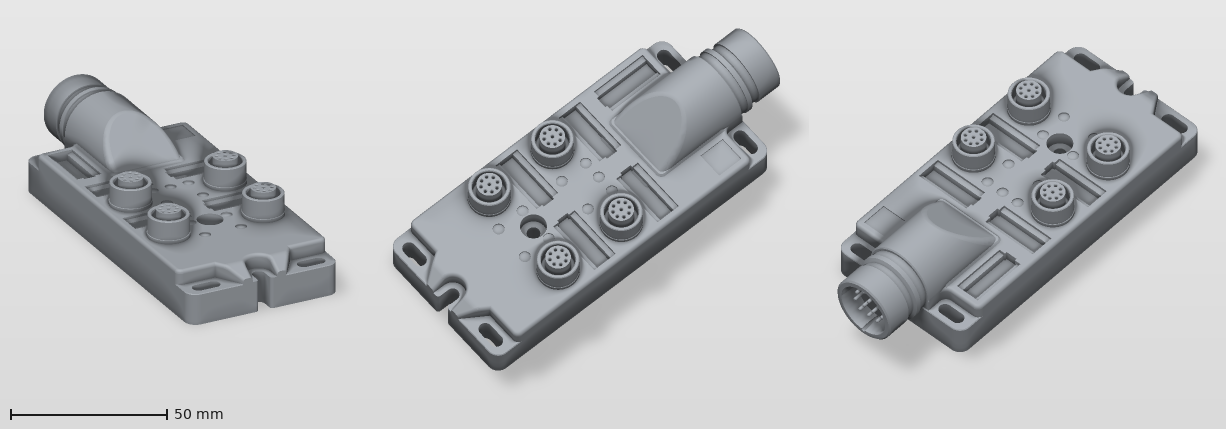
import cadquery as cq
import math

TOTAL_LENGTH = 132.1
BODY_LENGTH = 115.3
BODY_WIDTH = 53.9
DECK_Z = 15.9
TOTAL_HEIGHT = 28.5
LEDGE_Z = 10.8
DECK_OVERLAP = 1.3
HALF_WIDTH = BODY_WIDTH / 2
CORNER_RADIUS = 4.0
LEDGE_EDGE_CHAMFER = 0.3

DECK_FRONT_X = 0.4
DECK_NOTCH_X = 8.3
DECK_REAR_X = 106.8
DECK_CORNER_RADIUS = 2.1
NOTCH_RADIUS = 2.6
DECK_ROUNDING = 1.2
REAR_NOTCH_Y = 13.5
REAR_TIP_Y = 7.8
SLOPE_START_X = 109.8
SLOPE_END_Z = 12.5
SLOPE_BLEND_RADIUS = 4.4

SLOT_WIDTH = 4.4
SLOT_LENGTH = 9.8
SLOT_Y = 18.9
FRONT_SLOT_X = 4.4
REAR_SLOT_X = BODY_LENGTH - FRONT_SLOT_X
U_RECESS_RADIUS = 4.4
U_MOUTH_RADIUS = 1.0
SCREW_X = 77.2
COUNTERBORE_DIAMETER = 8.6

AXIS_Z = DECK_Z
HOOD_RADIUS = TOTAL_HEIGHT - AXIS_Z
HOOD_RIDGE_END_X = 17.2
HOOD_FOOT_X = 34.9
HOOD_SKIRT_END_X = 35.3
HOOD_ROUNDING = 2.1
HOOD_FRONT_CHAMFER = 0.4
HOOD_SKIRT = 0.7

CONNECTOR_TIP_X = BODY_LENGTH - TOTAL_LENGTH
BARREL_DIAMETER = 23.0
NECK_DIAMETER = 21.5
RING_DIAMETER = 24.0
TIP_CHAMFER = 0.5
NECK_START_X = -7.8
RING_FLANK_X = -5.2
RING_START_X = -4.4
RING_END_X = -2.6
BORE_MOUTH_DIAMETER = 18.8
BORE_FLOOR_DIAMETER = 17.5
BORE_DEPTH = 7.3
INSERT_DIAMETER = 16.1
INSERT_HEIGHT = 0.7
INSERT_CHAMFER = 0.1
KEYWAY_DIAMETER = 1.5
PIN_DIAMETER = 1.15
PIN_SETBACK = 2.1
PIN_CHAMFER = 0.3
OUTER_PIN_RADIUS = 5.8
OUTER_PIN_ANGLES = (20, 60, 100, 140)
INNER_PIN_RADIUS = 2.2
INNER_PIN_COUNT = 3
LOWER_PIN_OFFSET = 4.5

COLUMN_PITCH = 26.4
SOCKET_X = 54.8
SOCKET_Y = 17.0
FLANGE_DIAMETER = 14.0
FLANGE_TOP_Z = 17.2
FLANGE_CHAMFER = 0.1
SOCKET_DIAMETER = 13.6
SOCKET_BORE = 11.1
SOCKET_TOP_Z = 23.6
SOCKET_FLOOR_Z = 17.8
SOCKET_CHAMFER = 0.3
CORE_DIAMETER = 8.2
CORE_TOP_Z = 25.2
SEAL_DIAMETER = (SOCKET_BORE - CORE_DIAMETER) / 2
CONTACT_DIAMETER = 1.0
COUNTERSINK_DIAMETER = 1.5
COUNTERSINK_ANGLE = 90
CONTACT_RADIUS = 2.8
CONTACT_COUNT = 8
CONTACT_DEPTH = 2.6

DOME_DIAMETER = 3.8
DOME_HEIGHT = 0.4
DOME_RECESS_DEPTH = 0.46
DOME_OFFSET_X = 5.0
DOME_Y = 6.5

POCKET_X = 41.5
POCKET_WIDTH = 9.0
POCKET_FLOOR_WIDTH = 5.5
POCKET_LENGTH = 20.3
POCKET_OUTER_Y = 24.5
POCKET_DEPTH = 3.5
POCKET_RIM_DEPTH = 0.9
POCKET_SHELF_DEPTH = 1.5
POCKET_WALL_DRAFT = 0.3
TAB_WIDTH = 4.2
TAB_LENGTH = 0.8
SIDE_POCKET_X = 11.0
SIDE_POCKET_Y = -19.8

PLATE_SIZE = 9.2
PLATE_DEPTH = 0.4
PLATE_X = 15.5
PLATE_Y = 19.8


def cylinder_z(diameter, x, y, bottom, top):
    disc = cq.Workplane("XY", origin=(x, y, bottom)).circle(diameter / 2)
    return disc.extrude(top - bottom)


def half_deck():
    """Raised deck on the +Y side, up to the sloped rear tip."""
    outline = (
        cq.Workplane("XY", origin=(0, 0, LEDGE_Z - DECK_OVERLAP))
        .moveTo(DECK_FRONT_X, 0)
        .lineTo(DECK_FRONT_X, HOOD_RADIUS)
        .lineTo(DECK_NOTCH_X - NOTCH_RADIUS, HOOD_RADIUS)
        .radiusArc((DECK_NOTCH_X, HOOD_RADIUS + NOTCH_RADIUS), -NOTCH_RADIUS)
        .lineTo(DECK_NOTCH_X, HALF_WIDTH - DECK_CORNER_RADIUS)
        .radiusArc((DECK_NOTCH_X + DECK_CORNER_RADIUS, HALF_WIDTH), DECK_CORNER_RADIUS)
        .lineTo(DECK_REAR_X - DECK_CORNER_RADIUS, HALF_WIDTH)
        .radiusArc((DECK_REAR_X, HALF_WIDTH - DECK_CORNER_RADIUS), DECK_CORNER_RADIUS)
        .lineTo(DECK_REAR_X, REAR_NOTCH_Y)
        .lineTo(BODY_LENGTH, REAR_TIP_Y)
        .lineTo(BODY_LENGTH, 0)
        .close()
    )
    return outline.extrude(DECK_Z - LEDGE_Z + DECK_OVERLAP)


def make_deck():
    upper_half = half_deck()
    deck = upper_half.union(upper_half.mirror("XZ")).clean()
    recess_mouth = cq.Workplane("XY", origin=(REAR_SLOT_X, 0, LEDGE_Z)).box(
        BODY_LENGTH - REAR_SLOT_X,
        2 * U_RECESS_RADIUS,
        DECK_Z - LEDGE_Z,
        centered=(False, True, False),
    )
    recess = cylinder_z(2 * U_RECESS_RADIUS, REAR_SLOT_X, 0, LEDGE_Z, DECK_Z).union(recess_mouth)
    slope = (
        cq.Workplane("XZ", origin=(0, HALF_WIDTH, 0))
        .moveTo(SLOPE_START_X, DECK_Z)
        .lineTo(BODY_LENGTH, SLOPE_END_Z)
        .lineTo(BODY_LENGTH, DECK_Z)
        .close()
        .extrude(BODY_WIDTH)
    )
    deck = deck.cut(slope)
    crease = cq.selectors.NearestToPointSelector((SLOPE_START_X, 0, DECK_Z))
    deck = deck.edges(crease).fillet(SLOPE_BLEND_RADIUS)
    deck = deck.cut(recess)
    covered_x = DECK_NOTCH_X - NOTCH_RADIUS
    rim = [edge for edge in deck.faces(">Z").edges().vals() if edge.Center().x > covered_x]
    return deck.newObject(rim).fillet(DECK_ROUNDING)


def make_base():
    base = (
        cq.Workplane("XY")
        .rect(BODY_LENGTH, BODY_WIDTH)
        .extrude(LEDGE_Z)
        .translate((BODY_LENGTH / 2, 0, 0))
        .edges("|Z")
        .fillet(CORNER_RADIUS)
    )
    return base.faces(">Z").edges().chamfer(LEDGE_EDGE_CHAMFER)


def make_slots():
    slots = None
    for x in (FRONT_SLOT_X, REAR_SLOT_X):
        for y in (-SLOT_Y, SLOT_Y):
            slot = (
                cq.Workplane("XY", origin=(x, y, 0))
                .slot2D(SLOT_LENGTH, SLOT_WIDTH, 90)
                .extrude(DECK_Z)
            )
            slots = slot if slots is None else slots.union(slot)
    return slots


def cut_screw_features(body):
    """Open-ended rear slot and the counterbored hole in the deck."""
    rear_slot = (
        cq.Workplane("XY")
        .moveTo(BODY_LENGTH, SLOT_WIDTH / 2 + U_MOUTH_RADIUS)
        .radiusArc((BODY_LENGTH - U_MOUTH_RADIUS, SLOT_WIDTH / 2), U_MOUTH_RADIUS)
        .lineTo(REAR_SLOT_X, SLOT_WIDTH / 2)
        .radiusArc((REAR_SLOT_X, -SLOT_WIDTH / 2), -SLOT_WIDTH / 2)
        .lineTo(BODY_LENGTH - U_MOUTH_RADIUS, -SLOT_WIDTH / 2)
        .radiusArc((BODY_LENGTH, -SLOT_WIDTH / 2 - U_MOUTH_RADIUS), U_MOUTH_RADIUS)
        .close()
        .extrude(DECK_Z)
    )
    hole = cylinder_z(SLOT_WIDTH, SCREW_X, 0, 0, DECK_Z)
    counterbore = cylinder_z(COUNTERBORE_DIAMETER, SCREW_X, 0, LEDGE_Z, DECK_Z)
    return body.cut(rear_slot).cut(hole).cut(counterbore)


def make_hood():
    """Half-round hood with a sloped rear face and a flared foot on the deck."""
    slope = (TOTAL_HEIGHT - DECK_Z) / (HOOD_FOOT_X - HOOD_RIDGE_END_X)
    bottom_z = LEDGE_Z
    bottom_x = HOOD_FOOT_X + (DECK_Z - bottom_z) / slope
    arch = (
        cq.Workplane("YZ", origin=(DECK_FRONT_X, 0, 0))
        .moveTo(-HOOD_RADIUS, bottom_z)
        .lineTo(-HOOD_RADIUS, AXIS_Z)
        .threePointArc((0, TOTAL_HEIGHT), (HOOD_RADIUS, AXIS_Z))
        .lineTo(HOOD_RADIUS, bottom_z)
        .close()
        .extrude(bottom_x - DECK_FRONT_X)
    )
    profile = (
        cq.Workplane("XZ", origin=(0, HALF_WIDTH, 0))
        .moveTo(DECK_FRONT_X, bottom_z)
        .lineTo(DECK_FRONT_X, TOTAL_HEIGHT)
        .lineTo(HOOD_RIDGE_END_X, TOTAL_HEIGHT)
        .lineTo(bottom_x, bottom_z)
        .close()
        .extrude(BODY_WIDTH)
    )
    hood = arch.intersect(profile)
    sloped_face = hood.faces(cq.selectors.DirectionMinMaxSelector(cq.Vector(slope, 0, 1), True))
    sloped_edges = [edge for edge in sloped_face.edges().vals() if edge.Center().z > DECK_Z]
    hood = hood.newObject(sloped_edges).fillet(HOOD_ROUNDING)
    hood = hood.faces("<X").edges("%CIRCLE").chamfer(HOOD_FRONT_CHAMFER)
    skirt = (
        cq.Workplane("XY", origin=((DECK_NOTCH_X + HOOD_SKIRT_END_X) / 2, 0, LEDGE_Z))
        .rect(HOOD_SKIRT_END_X - DECK_NOTCH_X, 2 * (HOOD_RADIUS + HOOD_SKIRT))
        .extrude(DECK_Z + HOOD_SKIRT - LEDGE_Z)
        .edges("|Z and >X")
        .fillet(HOOD_ROUNDING)
        .faces(">Z")
        .edges()
        .chamfer(HOOD_SKIRT)
    )
    return hood.union(skirt)


def make_connector():
    """Turned barrel with its bore, keyway and contact pins, along -X."""
    barrel_radius = BARREL_DIAMETER / 2
    neck_radius = NECK_DIAMETER / 2
    ring_radius = RING_DIAMETER / 2
    floor_x = CONNECTOR_TIP_X + BORE_DEPTH
    axis_plane = cq.Workplane("XY", origin=(0, 0, AXIS_Z))
    barrel = (
        axis_plane
        .moveTo(CONNECTOR_TIP_X, 0)
        .lineTo(CONNECTOR_TIP_X, barrel_radius - TIP_CHAMFER)
        .lineTo(CONNECTOR_TIP_X + TIP_CHAMFER, barrel_radius)
        .lineTo(NECK_START_X, barrel_radius)
        .lineTo(NECK_START_X, neck_radius)
        .lineTo(RING_FLANK_X, neck_radius)
        .lineTo(RING_START_X, ring_radius)
        .lineTo(RING_END_X, ring_radius)
        .lineTo(RING_END_X, barrel_radius)
        .lineTo(DECK_FRONT_X, barrel_radius)
        .lineTo(DECK_FRONT_X, 0)
        .close()
        .revolve(360, (0, 0), (1, 0))
    )
    bore = (
        axis_plane
        .moveTo(CONNECTOR_TIP_X, 0)
        .lineTo(CONNECTOR_TIP_X, BORE_MOUTH_DIAMETER / 2)
        .lineTo(floor_x, BORE_FLOOR_DIAMETER / 2)
        .lineTo(floor_x, 0)
        .close()
        .revolve(360, (0, 0), (1, 0))
    )
    keyway = (
        cq.Workplane("YZ", origin=(CONNECTOR_TIP_X, 0, AXIS_Z - BORE_MOUTH_DIAMETER / 2))
        .circle(KEYWAY_DIAMETER / 2)
        .extrude(BORE_DEPTH)
    )
    insert = (
        cq.Workplane("YZ", origin=(floor_x - INSERT_HEIGHT, 0, AXIS_Z))
        .circle(INSERT_DIAMETER / 2)
        .extrude(INSERT_HEIGHT)
        .faces("<X")
        .chamfer(INSERT_CHAMFER)
    )
    pin_points = [(0, -LOWER_PIN_OFFSET)]
    for angle in OUTER_PIN_ANGLES:
        y = OUTER_PIN_RADIUS * math.sin(math.radians(angle))
        z = OUTER_PIN_RADIUS * math.cos(math.radians(angle))
        pin_points += [(y, z), (-y, z)]
    for index in range(INNER_PIN_COUNT):
        angle = 2 * math.pi * index / INNER_PIN_COUNT
        pin_points.append((INNER_PIN_RADIUS * math.sin(angle), INNER_PIN_RADIUS * math.cos(angle)))
    pins = (
        cq.Workplane("YZ", origin=(CONNECTOR_TIP_X + PIN_SETBACK, 0, AXIS_Z))
        .pushPoints(pin_points)
        .circle(PIN_DIAMETER / 2)
        .extrude(BORE_DEPTH)
        .faces("<X")
        .chamfer(PIN_CHAMFER)
    )
    return barrel.cut(bore).cut(keyway).union(insert).union(pins)


def make_socket():
    """Round socket standing on the deck, centred on the Z axis."""
    flange = cylinder_z(FLANGE_DIAMETER, 0, 0, DECK_Z - DECK_OVERLAP, FLANGE_TOP_Z)
    flange = flange.faces(">Z").chamfer(FLANGE_CHAMFER)
    wall = cylinder_z(SOCKET_DIAMETER, 0, 0, DECK_Z, SOCKET_TOP_Z)
    bore = cylinder_z(SOCKET_BORE, 0, 0, SOCKET_FLOOR_Z, SOCKET_TOP_Z)
    wall = flange.union(wall).cut(bore).faces(">Z").edges().chamfer(SOCKET_CHAMFER)
    core = cylinder_z(CORE_DIAMETER, 0, 0, DECK_Z, CORE_TOP_Z)
    contact_points = [(0, 0)]
    for index in range(CONTACT_COUNT):
        angle = 2 * math.pi * (index + 0.5) / CONTACT_COUNT
        contact_points.append((CONTACT_RADIUS * math.sin(angle), CONTACT_RADIUS * math.cos(angle)))
    core = (
        core.faces(">Z")
        .workplane()
        .pushPoints(contact_points)
        .cskHole(CONTACT_DIAMETER, COUNTERSINK_DIAMETER, COUNTERSINK_ANGLE, CONTACT_DEPTH)
    )
    seal = (
        cq.Workplane("XZ", origin=(0, 0, SOCKET_FLOOR_Z))
        .moveTo((CORE_DIAMETER + SOCKET_BORE) / 4, 0)
        .circle(SEAL_DIAMETER / 2)
        .revolve(360, (0, 0), (0, 1))
    )
    return wall.union(core).union(seal)


def make_dome_recess():
    """Shallow round recess with a spherical cap rising from its floor almost to the deck."""
    radius = DOME_DIAMETER / 2
    sphere_radius = (radius**2 + DOME_HEIGHT**2) / (2 * DOME_HEIGHT)
    return (
        cq.Workplane("XZ", origin=(0, 0, DECK_Z - DOME_RECESS_DEPTH))
        .moveTo(radius, 0)
        .lineTo(radius, DOME_RECESS_DEPTH)
        .lineTo(0, DOME_RECESS_DEPTH)
        .lineTo(0, DOME_HEIGHT)
        .radiusArc((radius, 0), sphere_radius)
        .close()
        .revolve(360, (0, 0), (0, 1))
    )


def make_pocket():
    """Label pocket along +Y from the origin: stepped trough with sloped shelves and an end tab."""
    half_width = POCKET_WIDTH / 2
    half_floor = POCKET_FLOOR_WIDTH / 2
    trough = (
        cq.Workplane("XZ", origin=(0, 0, DECK_Z))
        .moveTo(-half_width, 0)
        .lineTo(-half_width, -POCKET_RIM_DEPTH)
        .lineTo(-half_floor, -POCKET_SHELF_DEPTH)
        .lineTo(POCKET_WALL_DRAFT - half_floor, -POCKET_DEPTH)
        .lineTo(half_floor - POCKET_WALL_DRAFT, -POCKET_DEPTH)
        .lineTo(half_floor, -POCKET_SHELF_DEPTH)
        .lineTo(half_width, -POCKET_RIM_DEPTH)
        .lineTo(half_width, 0)
        .close()
        .extrude(-POCKET_LENGTH)
    )
    tab = cq.Workplane("XY").box(
        TAB_WIDTH, POCKET_LENGTH + TAB_LENGTH, POCKET_DEPTH, centered=(True, False, False)
    ).translate((0, 0, DECK_Z - POCKET_DEPTH))
    return trough.union(tab)


body = make_base().union(make_deck()).cut(make_slots())
body = cut_screw_features(body)

dome_recess = make_dome_recess()
pocket = make_pocket()
socket = make_socket()
for column in range(2):
    shift = column * COLUMN_PITCH
    for side in (-1, 1):
        for offset in (-DOME_OFFSET_X, DOME_OFFSET_X):
            body = body.cut(dome_recess.translate((SOCKET_X + shift + offset, side * DOME_Y, 0)))
        turn = 0 if side < 0 else 180
        label = pocket.rotate((0, 0, 0), (0, 0, 1), turn)
        body = body.cut(label.translate((POCKET_X + shift, side * POCKET_OUTER_Y, 0)))
        body = body.union(socket.translate((SOCKET_X + shift, side * SOCKET_Y, 0)))

body = body.cut(dome_recess.translate((SOCKET_X - DOME_OFFSET_X, 0, 0)))
side_pocket = pocket.rotate((0, 0, 0), (0, 0, 1), -90).translate((SIDE_POCKET_X, SIDE_POCKET_Y, 0))
plate_recess = (
    cq.Workplane("XY", origin=(PLATE_X, PLATE_Y, DECK_Z - PLATE_DEPTH))
    .rect(PLATE_SIZE, PLATE_SIZE)
    .extrude(PLATE_DEPTH)
)
body = body.cut(side_pocket).cut(plate_recess)

result = body.union(make_hood()).union(make_connector())